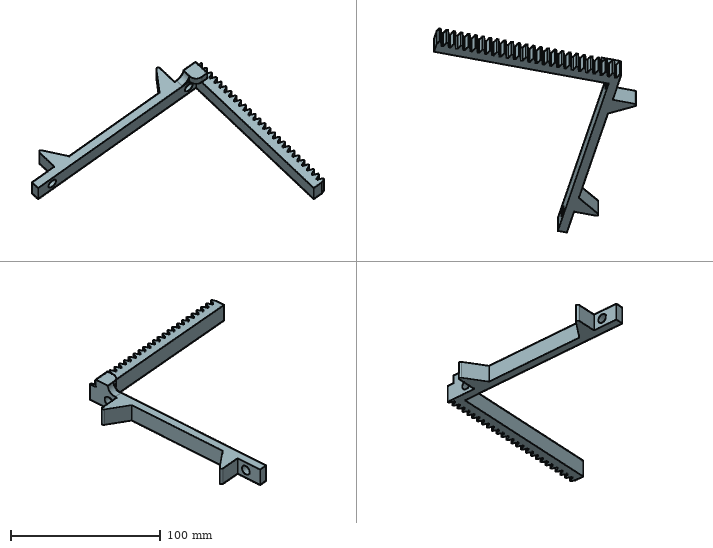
import cadquery as cq
import math

bar_length = 149.9
bar_width = 6.3
body_height = 12.9
rack_length = 127.0

rack_depth = 10.0
tooth_count = 26
tooth_span = 124.7
tooth_pitch = tooth_span / (tooth_count - 1)
tooth_height = 3.6
tooth_tip_width = 1.2
tooth_root_width = 3.9
first_tooth_x = 0.6

block_height = 6.1
block_setback = 5.1
corner_radius = 5.8
fillet_radius = block_height
fillet_width = 6.0

hook_reach = 16.3
hook_slope = math.radians(34.5)
hook_tip_radius = 1.27
upper_hook_y = 126.2
lower_hook_y = 19.8

hole_diameter = 6.7
hole_positions = (12.6, 133.4)

rack_back = bar_length - rack_depth
tooth_root = bar_length - tooth_height


def box(x_size, y_start, y_end, z_start, height):
    """Block lying against the outer face of the bar (X = 0)."""
    return (
        cq.Workplane("XY", origin=(0, y_start, z_start))
        .box(x_size, y_end - y_start, height, centered=False)
    )


def make_rack():
    """Toothed arm along X; the end teeth are trimmed flush with the ends of the arm."""
    rack = box(rack_length, rack_back, tooth_root, 0, body_height)
    envelope = box(rack_length, rack_back, bar_length, 0, body_height)
    for index in range(tooth_count):
        center = first_tooth_x + index * tooth_pitch
        tooth = (
            cq.Workplane("XY")
            .moveTo(center - tooth_root_width / 2, rack_back)
            .lineTo(center - tooth_root_width / 2, tooth_root)
            .lineTo(center - tooth_tip_width / 2, bar_length)
            .lineTo(center + tooth_tip_width / 2, bar_length)
            .lineTo(center + tooth_root_width / 2, tooth_root)
            .lineTo(center + tooth_root_width / 2, rack_back)
            .close()
            .extrude(body_height)
        )
        rack = rack.union(tooth.intersect(envelope))
    return rack


def make_hook(flat_y, slope_side):
    """Hook with a flat edge at flat_y and its sloped edge on the slope_side (+1 or -1) in Y."""
    r = hook_tip_radius
    center_x = r - hook_reach
    sine = math.sin(hook_slope)
    cosine = math.cos(hook_slope)
    slope_start = (center_x - r * sine, r + r * cosine)
    root_drop = slope_start[1] - slope_start[0] * math.tan(hook_slope)

    def place(x, drop):
        return (x, flat_y + slope_side * drop)

    return (
        cq.Workplane("XY")
        .moveTo(*place(bar_width, 0))
        .lineTo(*place(center_x, 0))
        .threePointArc(place(center_x - r, r), place(*slope_start))
        .lineTo(*place(0, root_drop))
        .lineTo(*place(bar_width, root_drop))
        .close()
        .extrude(body_height)
    )


def make_corner_block():
    """Raised block over the corner, with a rounded inner corner and a concave fillet to the bar."""
    block_front = rack_back - corner_radius
    block_right = bar_width + corner_radius
    block = (
        cq.Workplane("XY", origin=(0, 0, body_height))
        .moveTo(0, bar_length - block_setback)
        .lineTo(block_right, bar_length - block_setback)
        .lineTo(block_right, rack_back)
        .radiusArc((bar_width, block_front), corner_radius)
        .lineTo(0, block_front)
        .close()
        .extrude(block_height)
    )
    fillet = box(fillet_width, block_front - fillet_radius, block_front, body_height, fillet_radius)
    hollow = (
        cq.Workplane("YZ", origin=(0, block_front - fillet_radius, body_height + fillet_radius))
        .circle(fillet_radius)
        .extrude(fillet_width)
    )
    return block.union(fillet.cut(hollow))


def make_holes():
    """Cylinders through the bar at mid-height of the body."""
    return (
        cq.Workplane("YZ")
        .pushPoints([(y, body_height / 2) for y in hole_positions])
        .circle(hole_diameter / 2)
        .extrude(bar_width)
    )


bar = box(bar_width, 0, rack_back, 0, body_height)
result = (
    bar.union(make_rack())
    .union(make_hook(upper_hook_y, -1))
    .union(make_hook(lower_hook_y, 1))
    .union(make_corner_block())
    .cut(make_holes())
)